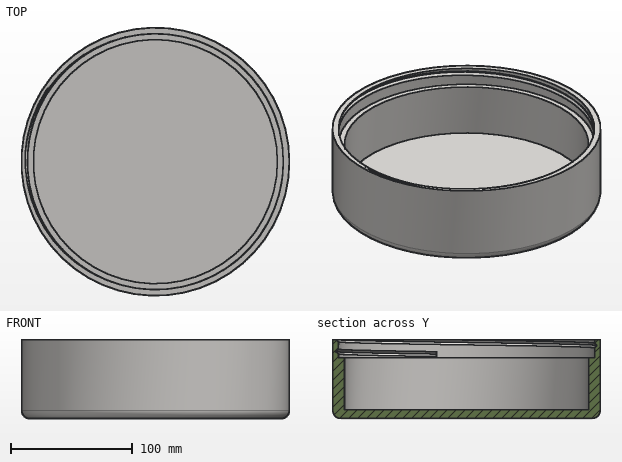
import cadquery as cq

outer_radius = 110.0
height = 65.0
base_fillet = 7.0
bore_radius = 100.0
floor_thickness = 7.5

recess_radius = 105.0
recess_depth = 14.7

groove_depth = 2.0
groove_half_height = 2.0
groove_pitch = 10.0
groove_start_angle = 103.5
groove_start_depth = 11.9
cutter_overlap = 0.7


def make_cup():
    body = cq.Workplane("XY").circle(outer_radius).extrude(height)
    body = body.faces("<Z").edges().fillet(base_fillet)
    bore = (
        cq.Workplane("XY")
        .workplane(offset=floor_thickness)
        .circle(bore_radius)
        .extrude(height - floor_thickness)
    )
    recess = (
        cq.Workplane("XY")
        .workplane(offset=height - recess_depth)
        .circle(recess_radius)
        .extrude(recess_depth)
    )
    return body.cut(bore).cut(recess)


def make_groove_cutter():
    """Sweep the V profile up a helix until it has left the rim completely."""
    rise = groove_start_depth + 2 * groove_half_height
    path = cq.Wire.makeHelix(groove_pitch, rise, recess_radius)
    inner_half_height = groove_half_height * (1 + cutter_overlap / groove_depth)
    inner_radius = recess_radius - cutter_overlap
    cutter = (
        cq.Workplane("XZ")
        .moveTo(inner_radius, -inner_half_height)
        .lineTo(recess_radius + groove_depth, 0)
        .lineTo(inner_radius, inner_half_height)
        .close()
        .sweep(cq.Workplane(obj=path), isFrenet=True)
    )
    return cutter.rotate((0, 0, 0), (0, 0, 1), groove_start_angle).translate(
        (0, 0, height - groove_start_depth)
    )


result = make_cup().cut(make_groove_cutter())